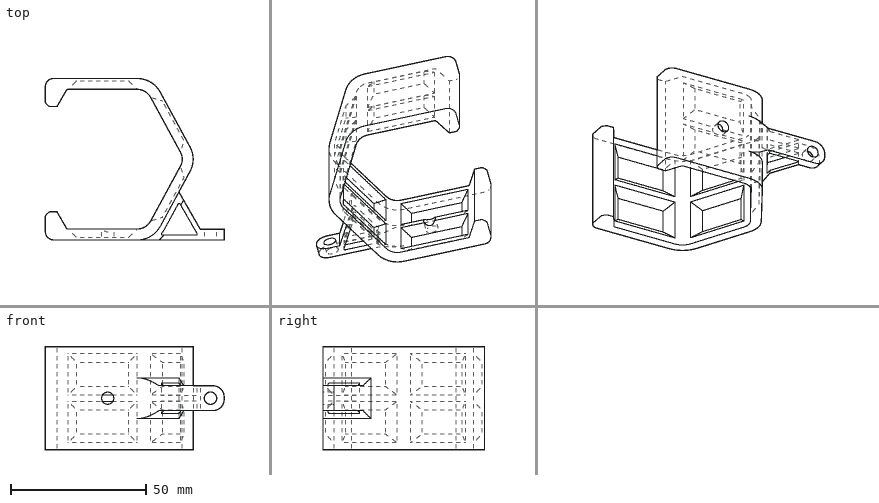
import cadquery as cq
import math

clip_width = 59.8
clip_height = 38.1
wall = 4.1
corner_start_x = 33.95
back_angle = math.radians(61.5)
corner_radius = 9.8
tip_radius = 9.3
tip_inner_radius = 5.15

hook_tip_y = 19.4
hook_tip_x = 4.4
hook_slope = math.radians(60)
hook_corner_radius = 3.2
hook_chamfer = 1.45
hook_chamfer_blend = 1.05
hook_root_radius = 0.65

pocket_height = 15.3
pocket_depth = 3.2
pocket_taper = 45
pocket_rib = 2.3

tab_end_x = 66.2
tab_height = 9.3
tab_thickness = 4.05
tab_end_radius = 4.25
gusset_foot_x = 57.3
gusset_top_x = 49.45
flare = 2.9
recess_border = 1.85
recess_web = 2.05
recess_corner_radius = 0.4

hole_diameter = 4.5
tab_hole_x = 61.1
arm_hole_x = 23.1

half_width = clip_width / 2
inner_half_width = half_width - wall
tip_half_turn = math.pi / 2 - back_angle
corner_x = corner_start_x + corner_radius * math.tan(back_angle / 2)
apex_x = corner_x + half_width / math.tan(back_angle)
inner_corner_x = corner_x - wall * math.tan(back_angle / 2)
inner_apex_x = apex_x - wall / math.sin(back_angle)
inner_corner_radius = corner_radius - wall
hook_root_x = hook_tip_x + (inner_half_width - hook_tip_y) / math.tan(hook_slope)


def prism(points, height):
    """Upright prism centred on Z = 0."""
    return cq.Workplane("XY").polyline(points).close().extrude(height / 2, both=True)


def upright_edge(solid, x, y):
    return solid.edges("|Z").edges(cq.selectors.NearestToPointSelector((x, y, 0)))


def round_pair(solid, x, y, radius):
    """Round the upright edges at (x, y) and (x, -y)."""
    for edge_y in (y, -y):
        solid = upright_edge(solid, x, edge_y).fillet(radius)
    return solid


def outer_block(height, growth=0):
    """Everything inside the outer outline of the clip, with its walls moved out by growth."""
    side_y = half_width + growth
    bend_x = corner_x + growth * math.tan(back_angle / 2)
    back_x = apex_x + growth / math.sin(back_angle)
    block = prism([(0, -side_y), (bend_x, -side_y), (back_x, 0), (bend_x, side_y), (0, side_y)], height)
    block = round_pair(block, bend_x, side_y, corner_radius + growth)
    return upright_edge(block, back_x, 0).fillet(tip_radius + growth)


def cavity():
    """Space inside the clip, including the mouth between the hooks."""
    outline = [
        (0, -hook_tip_y),
        (hook_tip_x, -hook_tip_y),
        (hook_root_x, -inner_half_width),
        (inner_corner_x, -inner_half_width),
        (inner_apex_x, 0),
        (inner_corner_x, inner_half_width),
        (hook_root_x, inner_half_width),
        (hook_tip_x, hook_tip_y),
        (0, hook_tip_y),
    ]
    space = prism(outline, clip_height)
    space = round_pair(space, hook_root_x, inner_half_width, hook_root_radius)
    space = round_pair(space, inner_corner_x, inner_half_width, inner_corner_radius)
    return upright_edge(space, inner_apex_x, 0).fillet(tip_inner_radius)


def clip_body():
    body = outer_block(clip_height).cut(cavity())
    body = round_pair(body, 0, half_width, hook_corner_radius)
    for side in (1, -1):
        body = upright_edge(body, 0, side * hook_tip_y).chamfer(hook_chamfer)
    body = round_pair(body, 0, hook_tip_y + hook_chamfer, hook_chamfer_blend)
    return round_pair(body, hook_chamfer, hook_tip_y, hook_chamfer_blend)


def wall_pockets(start, end):
    """Two stacked pockets in the flat inner wall running from start to end."""
    along = cq.Vector(end[0] - start[0], end[1] - start[1], 0)
    middle = ((start[0] + end[0]) / 2, (start[1] + end[1]) / 2, 0)
    face = cq.Plane(origin=middle, xDir=along, normal=along.cross(cq.Vector(0, 0, 1)))
    row_offset = (pocket_height + pocket_rib) / 2
    return (
        cq.Workplane(face)
        .pushPoints([(0, row_offset), (0, -row_offset)])
        .rect(along.Length, pocket_height)
        .extrude(pocket_depth, taper=pocket_taper)
    )


def pockets():
    """Pockets in both arms and both back walls, ending where the bends begin."""
    root_setback = hook_root_radius * math.tan(hook_slope / 2)
    bend_setback = inner_corner_radius * math.tan(back_angle / 2)
    bend_end_x = inner_corner_x + bend_setback * math.cos(back_angle)
    bend_end_y = inner_half_width - bend_setback * math.sin(back_angle)
    tip_start_y = tip_inner_radius * math.sin(tip_half_turn)
    tip_start_x = inner_apex_x - tip_start_y / math.tan(back_angle)
    arm = wall_pockets((hook_root_x + root_setback, -inner_half_width), (corner_start_x, -inner_half_width))
    back = wall_pockets((bend_end_x, -bend_end_y), (tip_start_x, -tip_start_y))
    one_side = arm.union(back)
    return one_side.union(one_side.mirror("XZ"))


def tab_and_gusset():
    gusset_top_y = -half_width + (gusset_top_x - corner_x) * math.tan(back_angle)
    tab_inner_y = -half_width + tab_thickness
    outline = [
        (corner_start_x, -half_width),
        (tab_end_x, -half_width),
        (tab_end_x, tab_inner_y),
        (gusset_foot_x, tab_inner_y),
        (gusset_top_x, gusset_top_y),
    ]
    flare_height = tab_height + 2 * flare
    plate = prism(outline, tab_height).edges("|Y and >X").fillet(tab_end_radius)

    flare_block = outer_block(flare_height, flare).faces("<Z or >Z").chamfer(flare)
    bracket = plate.union(flare_block.intersect(prism(outline, flare_height)))

    slant = math.atan2(gusset_top_y - tab_inner_y, gusset_foot_x - gusset_top_x)
    slant_inset = recess_border / math.sin(slant)
    recess_low_y = -half_width + recess_border
    recess_foot_x = gusset_foot_x - slant_inset + (tab_inner_y - recess_low_y) / math.tan(slant)
    recess_outline = [
        (corner_start_x, recess_low_y),
        (recess_foot_x, recess_low_y),
        (gusset_top_x - slant_inset, gusset_top_y),
    ]
    recess = (
        prism(recess_outline, flare_height)
        .cut(outer_block(clip_height, recess_border))
        .edges("|Z and (<X or >X or >Y)")
        .fillet(recess_corner_radius)
        .translate((0, 0, (flare_height + recess_web) / 2))
    )
    bracket = bracket.cut(recess).cut(recess.mirror("XY"))
    return bracket.cut(outer_block(clip_height))


def bolt_hole(x):
    """Hole along Y through the -Y wall at the given X."""
    depth = 2 * wall
    return (
        cq.Workplane("XZ", origin=(x, -half_width, 0))
        .circle(hole_diameter / 2)
        .extrude(-depth)
    )


result = clip_body().union(tab_and_gusset())
result = result.cut(pockets())
for hole_x in (arm_hole_x, tab_hole_x):
    result = result.cut(bolt_hole(hole_x))